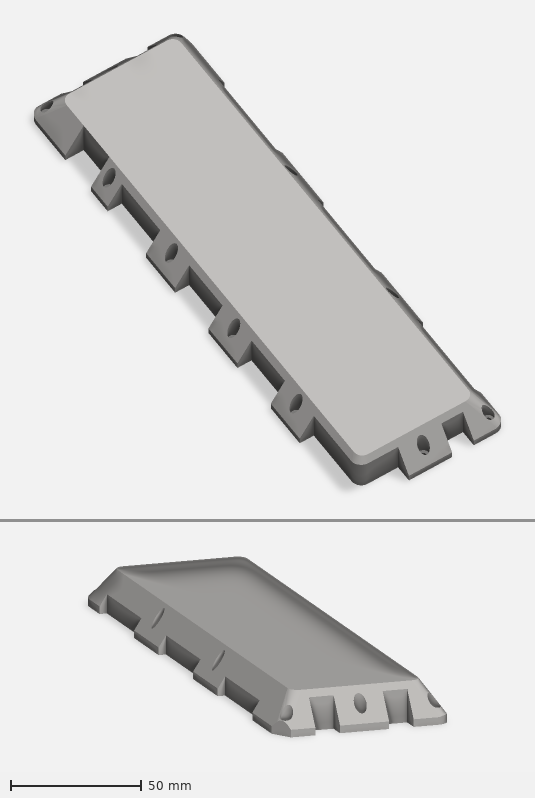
import cadquery as cq

length = 225.0
width = 70.0
height = 16.0
foot_height = 3.0
end_slope_run = 9.5
side_slope_run = 8.5
corner_radius = 5.0

half_length = length / 2
half_width = width / 2

screw_diameter = 2.4
head_diameter = 5.0
head_seat_height = foot_height
hole_inset = 5.0
front_hole_pitch = 43.0
front_hole_count = 4
back_hole_xs = (-28.5, 41.5)

end_notch_depth = 7.5
front_notch_depth = 6.5
back_notch_depth = 3.0
tab_length = 20.0
short_tab_end_x = -58.0
end_notch_length = 10.0
back_notch_length = 40.0
back_notch_pitch = 68.5
back_notch_middle_x = 6.5
deep_notch_start_x = -87.25
deep_notch_end_x = -69.5
open_corner_radius = 4.5

corner_cut_x = 8.0
corner_cut_y = 5.0


def rounded_plate(size_x, size_y, base_z, thickness, radius):
    """Plate centred on the Z axis with rounded upright edges."""
    plate = cq.Workplane("XY").workplane(offset=base_z).rect(size_x, size_y).extrude(thickness)
    return plate.edges("|Z").fillet(radius)


def full_height_box(x_start, x_end, y_start, y_end):
    """Cutting block through the whole height between two opposite corners."""
    block = cq.Workplane("XY").box(x_end - x_start, y_end - y_start, height, centered=False)
    return block.translate((x_start, y_start, 0))


def make_body():
    """Sloping block with rounded corner edges, standing on and trimmed by the upright rounded foot."""
    top_length = length - 2 * end_slope_run
    top_width = width - 2 * side_slope_run
    slope_height = height - foot_height
    slopes = (
        cq.Workplane("XY")
        .workplane(offset=foot_height)
        .rect(length, width)
        .workplane(offset=slope_height)
        .rect(top_length, top_width)
        .loft(ruled=True)
    )
    slopes = slopes.edges("not #Z").fillet(corner_radius)
    upright = rounded_plate(length, width, 0, height, corner_radius)
    foot = rounded_plate(length, width, 0, foot_height, corner_radius)
    return slopes.intersect(upright).union(foot)


def front_hole_xs():
    first = -front_hole_pitch * (front_hole_count - 1) / 2
    return [first + i * front_hole_pitch for i in range(front_hole_count)]


def cut_front_notches(body):
    hole_xs = front_hole_xs()
    floor_y = -half_width + front_notch_depth
    tab_ends = [short_tab_end_x] + [x + tab_length / 2 for x in hole_xs[1:-1]]
    next_tab_starts = [x - tab_length / 2 for x in hole_xs[1:]]
    for start_x, end_x in zip(tab_ends, next_tab_starts):
        body = body.cut(full_height_box(start_x, end_x, -half_width, floor_y))
    deep_floor_y = -half_width + side_slope_run
    return body.cut(full_height_box(deep_notch_start_x, deep_notch_end_x, -half_width, deep_floor_y))


def cut_back_notches(body):
    for step in (-1, 0, 1):
        middle_x = back_notch_middle_x + step * back_notch_pitch
        start_x = middle_x - back_notch_length / 2
        end_x = middle_x + back_notch_length / 2
        body = body.cut(full_height_box(start_x, end_x, half_width - back_notch_depth, half_width))
    return body


def cut_end_notches(body):
    near_y = tab_length / 2
    far_y = near_y + end_notch_length
    left_floor_x = -half_length + end_notch_depth
    right_floor_x = half_length - end_notch_depth
    body = body.cut(full_height_box(-half_length, left_floor_x, near_y, far_y))
    body = body.cut(full_height_box(-half_length, left_floor_x, -far_y, -near_y))
    return body.cut(full_height_box(right_floor_x, half_length, near_y, far_y))


def cut_open_corner(body):
    """Remove the front right corner tab, leaving a rounded upright wall behind it."""
    start_x = front_hole_xs()[-1] + tab_length / 2
    corner = full_height_box(start_x, half_length, -half_width, -tab_length / 2)
    core = rounded_plate(
        length - 2 * end_notch_depth, width - 2 * front_notch_depth, 0, height, open_corner_radius
    )
    return body.cut(corner.cut(core))


def cut_slanted_corner(body):
    wedge = (
        cq.Workplane("XY")
        .moveTo(-half_length, half_width)
        .lineTo(-half_length + corner_cut_x, half_width)
        .lineTo(-half_length, half_width - corner_cut_y)
        .close()
        .extrude(height)
    )
    return body.cut(wedge)


def cut_screw_holes(body):
    hole_x = half_length - hole_inset
    hole_y = half_width - hole_inset
    points = [(x, -hole_y) for x in front_hole_xs()]
    points += [(x, hole_y) for x in back_hole_xs]
    points += [(-hole_x, y) for y in (-hole_y, 0, hole_y)]
    points += [(hole_x, y) for y in (0, hole_y)]
    screws = cq.Workplane("XY").pushPoints(points).circle(screw_diameter / 2).extrude(height)
    heads = (
        cq.Workplane("XY")
        .workplane(offset=head_seat_height)
        .pushPoints(points)
        .circle(head_diameter / 2)
        .extrude(height - head_seat_height)
    )
    return body.cut(screws).cut(heads)


result = make_body()
result = cut_front_notches(result)
result = cut_back_notches(result)
result = cut_end_notches(result)
result = cut_open_corner(result)
result = cut_slanted_corner(result)
result = cut_screw_holes(result)